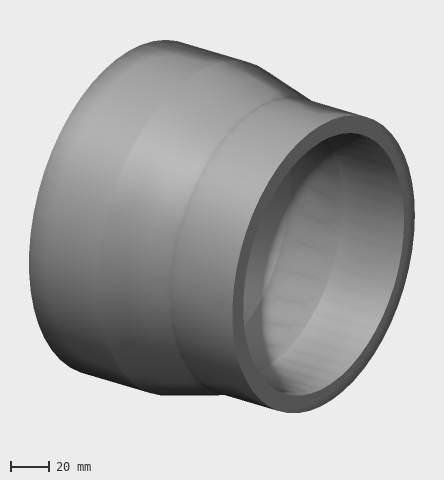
import cadquery as cq

large_outer_diameter = 180.0
large_wall = 10.7
small_outer_diameter = 160.0
small_wall = 9.5
large_spigot_length = 45.0
cone_length = 39.5
small_spigot_length = 40.0

large_outer_radius = large_outer_diameter / 2
small_outer_radius = small_outer_diameter / 2
large_bore_radius = large_outer_radius - large_wall
small_bore_radius = small_outer_radius - small_wall
cone_start = large_spigot_length
cone_end = cone_start + cone_length
total_length = cone_end + small_spigot_length


def stepped_half_profile(large_radius, small_radius):
    """Points (x, radius) along one wall surface, from the large end to the small end."""
    return [
        (0, large_radius),
        (cone_start, large_radius),
        (cone_end, small_radius),
        (total_length, small_radius),
    ]


def make_reducer():
    """Revolve the wall section, bounded by the outer and bore surfaces, about the X axis."""
    outer_surface = stepped_half_profile(large_outer_radius, small_outer_radius)
    bore_surface = stepped_half_profile(large_bore_radius, small_bore_radius)
    wall_section = outer_surface + bore_surface[::-1]
    return (
        cq.Workplane("XY")
        .polyline(wall_section)
        .close()
        .revolve(360, (0, 0, 0), (1, 0, 0))
    )


result = make_reducer()